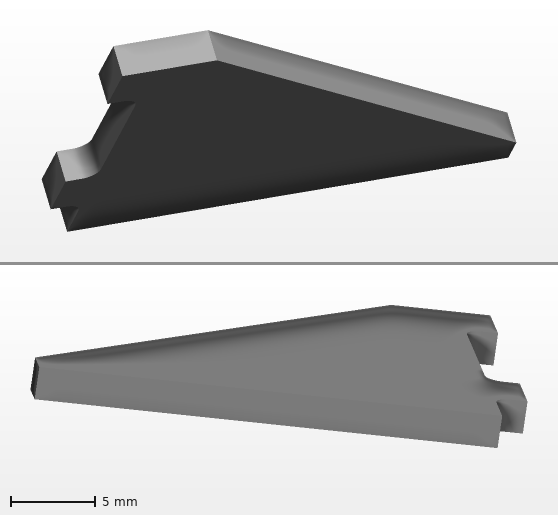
import cadquery as cq
import math

thickness = 2.0
slope_length = 23.153
plate_depth = 30.0
tab_depth = 2.0
tab_width = 4.0
lower_tab_start = 4.0
top_edge_length = 6.0
slant_run = 21.0
root_radius = 1.0
rise_per_run = 1.2

lower_tab_end = lower_tab_start + tab_width
upper_tab_start = slope_length - tab_width
back_edge_length = slope_length - slant_run
tilt = math.degrees(math.atan(rise_per_run))


def make_plate():
    """Flat plate: local X runs up the slope, Y is depth, top face at Z = 0."""
    return (
        cq.Workplane("XY")
        .moveTo(0, tab_depth)
        .lineTo(slope_length, tab_depth)
        .lineTo(slope_length, top_edge_length)
        .lineTo(back_edge_length, plate_depth)
        .lineTo(0, plate_depth)
        .close()
        .extrude(-thickness)
    )


def make_tab(start):
    """Rectangular tab on the front edge, beginning at the given distance up the slope."""
    return (
        cq.Workplane("XY")
        .moveTo(start, 0)
        .lineTo(start + tab_width, 0)
        .lineTo(start + tab_width, tab_depth)
        .lineTo(start, tab_depth)
        .close()
        .extrude(-thickness)
    )


def fillet_tab_root(body, position):
    """Round the inner corner between a tab side and the front edge of the plate."""
    corner = cq.selectors.NearestToPointSelector((position, tab_depth, -thickness / 2))
    return body.edges("|Z").edges(corner).fillet(root_radius)


plate = make_plate()
for tab_start in (lower_tab_start, upper_tab_start):
    plate = plate.union(make_tab(tab_start))
for root_position in (lower_tab_start, lower_tab_end, upper_tab_start):
    plate = fillet_tab_root(plate, root_position)

result = plate.rotate((0, 0, 0), (0, 1, 0), -tilt)